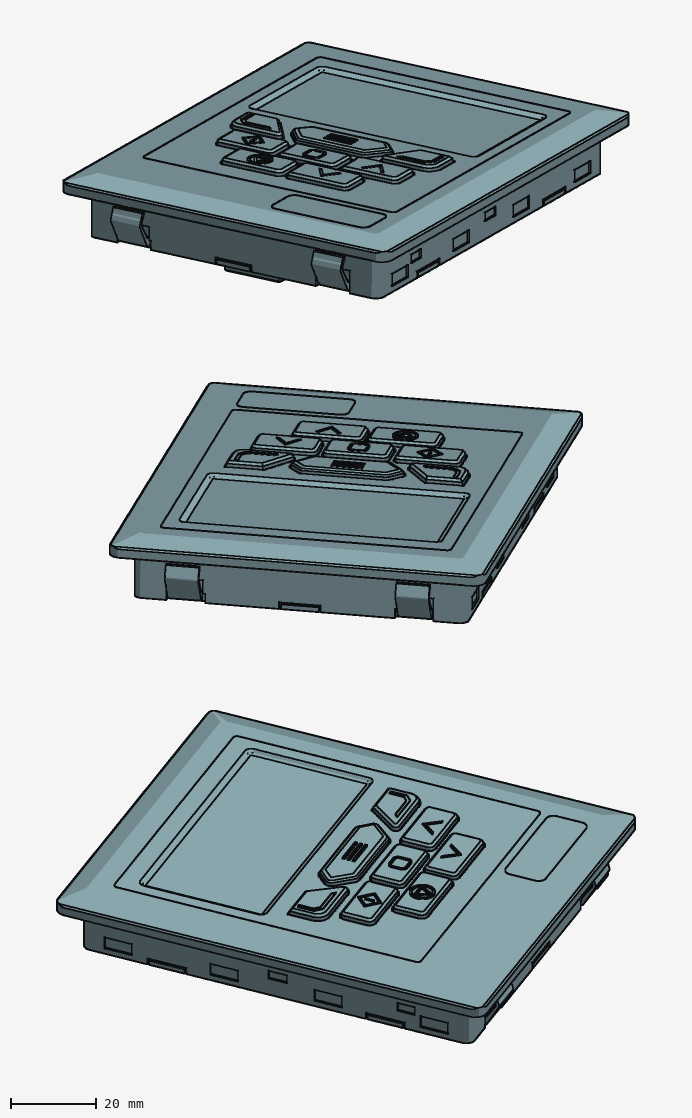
import cadquery as cq
import math

BEZEL_X, BEZEL_Y = 90.0, 110.0
FACE_Z = 4.9
TOTAL_Z = 21.91
BEZEL_RADIUS = 3.0
BEZEL_RIM_SECTIONS = [
    (2.0, 0.0, 2.8),
    (0.0, 0.7, BEZEL_RADIUS),
    (0.0, FACE_Z, BEZEL_RADIUS),
]
BEZEL_COVER_SECTIONS = [
    (0.0, 0.0, 1.1),
    (0.0, 2.85, 1.1),
    (0.45, 3.3, 1.1),
    (5.45, FACE_Z - 0.15, 1.8),
    (6.25, FACE_Z, 1.2),
]

HOUSING_X, HOUSING_Y, HOUSING_DEPTH = 80.0, 100.0, 10.9
HOUSING_RADIUS = 2.2

PLATE_X, PLATE_TOP, PLATE_BOTTOM = 69.6, 44.1, -34.5
PLATE_RADIUS, PLATE_RECESS = 1.0, 0.1
SCREEN_X, SCREEN_TOP, SCREEN_BOTTOM = 63.0, 39.3, 6.7
SCREEN_RADIUS = 1.6
SCREEN_STEP = 0.7
SCREEN_SLOPE_DEPTH, SCREEN_FLOOR_DEPTH = 0.6, 0.9
LABEL_X, LABEL_Y, LABEL_CENTRE = 26.8, 10.3, (21.2, -41.75)
LABEL_RADIUS, LABEL_DEPTH = 1.9, 0.1

KEY_HEIGHT = 1.21
KEY_TOP = FACE_Z + KEY_HEIGHT
KEY_CHAMFER_Z, KEY_CHAMFER_XY = 0.6, 0.6
MENU_EDGE_CHAMFER, MENU_CROWN_HEIGHT, MENU_CROWN_INSET = 0.4, 0.3, 0.9
KEY_GAP, KEY_GAP_DEPTH = 0.4, 0.5
KEY_BASE_Z = FACE_Z - KEY_GAP_DEPTH
KEY_X, KEY_Y, KEY_RADIUS = 16.3, 9.2, 1.7
KEY_PITCH, KEY_ROW_Y = 17.15, -13.7
LOWER_KEY_X, LOWER_KEY_OFFSET, LOWER_ROW_Y = 17.5, 9.0, -23.7
UPPER_ROW_BOTTOM = -7.4
SYMBOL_DEPTH = 0.2

POCKET_DEPTH = 0.5
LATCH_POCKET_Y, LATCH_POCKET_TOP, LATCH_POCKET_BOTTOM = 7.1, -6.3, -9.4
LATCH_POCKET_CENTRES = (-40.5, -13.35, 13.35, 40.5)
VENT_TOP, VENT_BOTTOM = -4.2, -6.4
VENT_SPANS = ((-2.8, 2.0), (-35.5, -31.1))
TAB_WIDTH, TAB_TOP, TAB_SLIT = 10.0, -9.2, 0.5
TAB_SIDE_Y = 28.0

CLIP_OFFSET, CLIP_WIDTH = 27.6, 8.0
CLIP_SLOT_WIDTH, CLIP_SLOT_TOP, CLIP_SLOT_DEPTH = 8.8, -5.2, 1.2
CLIP_ROOT_BOTTOM, CLIP_ROOT_TOP, CLIP_TIP = -10.3, -8.2, -1.2
CLIP_RELIEF_WIDTH, CLIP_RELIEF_TOP = 0.5, -8.6

CONNECTOR_Y = -34.0
FLANGE_SIZE, FLANGE_THICKNESS, FLANGE_RADIUS = 19.8, 1.3, 2.0
PLUG_SIZE, PLUG_CHAMFER = 15.5, 0.4
PLUG_DEPTH = TOTAL_Z - KEY_TOP - HOUSING_DEPTH - FLANGE_THICKNESS


def rounded_block(size_x, size_y, radius, z_bottom, height, centre=(0, 0)):
    """Upright block with rounded vertical edges."""
    base = cq.Workplane("XY", origin=(*centre, z_bottom)).rect(size_x, size_y)
    return base.extrude(height).edges("|Z").fillet(radius)


def rounded_rect_wire(size_x, size_y, radius, z, centre=(0, 0)):
    """Closed rounded rectangle lying at height z, taken from the foot of a block."""
    block_height = 1.0
    block = rounded_block(size_x, size_y, radius, z, block_height, centre)
    return block.faces("<Z").wires().val()


def box_between(x_range, y_range, z_range):
    """Plain box given by its limits on each axis."""
    size = [high - low for low, high in (x_range, y_range, z_range)]
    corner = cq.Vector(x_range[0], y_range[0], z_range[0])
    return cq.Workplane(cq.Solid.makeBox(*size, corner))


def mirrored(body, plane):
    """A body together with its mirror image."""
    return body.union(body.mirror(plane))


def bezel_loft(sections):
    wires = [
        rounded_rect_wire(BEZEL_X - 2 * inset, BEZEL_Y - 2 * inset, radius, z)
        for inset, z, radius in sections
    ]
    return cq.Workplane(cq.Solid.makeLoft(wires, True))


def make_bezel():
    """Sloped cover trimmed by the wider corner rounds of the rim."""
    return bezel_loft(BEZEL_RIM_SECTIONS).intersect(bezel_loft(BEZEL_COVER_SECTIONS))


def make_housing():
    return rounded_block(HOUSING_X, HOUSING_Y, HOUSING_RADIUS, -HOUSING_DEPTH, HOUSING_DEPTH)


def plate_recess():
    centre = (0, (PLATE_TOP + PLATE_BOTTOM) / 2)
    height = PLATE_TOP - PLATE_BOTTOM
    return rounded_block(PLATE_X, height, PLATE_RADIUS, FACE_Z - PLATE_RECESS, PLATE_RECESS, centre)


def screen_recess():
    centre = (0, (SCREEN_TOP + SCREEN_BOTTOM) / 2)
    size_y = SCREEN_TOP - SCREEN_BOTTOM
    rim_z = FACE_Z - PLATE_RECESS
    stages = ((0, 0), (1, SCREEN_SLOPE_DEPTH), (2, SCREEN_FLOOR_DEPTH))
    wires = []
    for step, depth in stages:
        inset = step * SCREEN_STEP
        radius = SCREEN_RADIUS - inset
        wires.append(rounded_rect_wire(SCREEN_X - 2 * inset, size_y - 2 * inset, radius, rim_z - depth, centre))
    return cq.Workplane(cq.Solid.makeLoft(wires, True))


def label_recess():
    return rounded_block(LABEL_X, LABEL_Y, LABEL_RADIUS, FACE_Z - LABEL_DEPTH, LABEL_DEPTH, LABEL_CENTRE)


def polygon_opening(points):
    """Key opening in the plate with sharp corners."""
    return cq.Workplane("XY", origin=(0, 0, KEY_BASE_Z)).polyline(points).close().extrude(KEY_GAP_DEPTH)


def rectangular_opening(centre, width):
    return rounded_block(width, KEY_Y, KEY_RADIUS, KEY_BASE_Z, KEY_GAP_DEPTH, centre)


def soft_key_opening():
    """Left soft key: one slanted side, large round at the outer lower corner."""
    outer_x, top_y = -28.7, 2.2
    shoulder_x, tip_x = -19.3, -12.2
    outer_round, tip_round = 3.2, 1.3
    opening = polygon_opening([
        (outer_x, top_y),
        (shoulder_x, top_y),
        (tip_x, UPPER_ROW_BOTTOM),
        (outer_x, UPPER_ROW_BOTTOM),
    ])
    opening = opening.edges("|Z and <X and <Y").fillet(outer_round)
    return opening.edges("|Z and >X").fillet(tip_round)


def menu_key_opening():
    """Six-sided centre key."""
    top_x, top_y = 10.5, 2.6
    tip_x, tip_y = 14.5, -1.6
    bottom_x = 9.4
    corner_round = 1.8
    opening = polygon_opening([
        (-top_x, top_y),
        (top_x, top_y),
        (tip_x, tip_y),
        (bottom_x, UPPER_ROW_BOTTOM),
        (-bottom_x, UPPER_ROW_BOTTOM),
        (-tip_x, tip_y),
    ])
    return opening.edges("|Z").fillet(corner_round)


def key_blank(opening, top_z):
    """Straight-sided key standing in its opening with the clearance all round."""
    outline = cq.Workplane("XY", origin=(0, 0, KEY_BASE_Z)).add(opening.faces("<Z").wires().vals())
    return outline.toPending().offset2D(-KEY_GAP).extrude(top_z - KEY_BASE_Z)


def standard_key(opening):
    return key_blank(opening, KEY_TOP).faces(">Z").chamfer(KEY_CHAMFER_Z, KEY_CHAMFER_XY)


def menu_key(opening):
    """Key with a chamfered edge and a flatter sloped crown on top."""
    slope = math.degrees(math.atan2(MENU_CROWN_INSET, MENU_CROWN_HEIGHT))
    key = key_blank(opening, KEY_TOP - MENU_CROWN_HEIGHT).faces(">Z").chamfer(MENU_EDGE_CHAMFER)
    return key.faces(">Z").wires().toPending().extrude(MENU_CROWN_HEIGHT, taper=slope)


def standard_openings():
    soft = soft_key_opening()
    openings = [soft, soft.mirror("YZ")]
    openings += [rectangular_opening((column * KEY_PITCH, KEY_ROW_Y), KEY_X) for column in (-1, 0, 1)]
    openings += [rectangular_opening((side * LOWER_KEY_OFFSET, LOWER_ROW_Y), LOWER_KEY_X) for side in (-1, 1)]
    return openings


def add_keys(body):
    menu_opening = menu_key_opening()
    body = body.cut(menu_opening).union(menu_key(menu_opening))
    for opening in standard_openings():
        body = body.cut(opening).union(standard_key(opening))
    return body


def symbol_plane(x=0, y=0):
    return cq.Workplane("XY", origin=(x, y, KEY_TOP - SYMBOL_DEPTH))


def corner_symbol():
    """L-shaped mark on the left soft key."""
    left_x, top_y, bottom_y, end_x = -26.6, 0.5, -5.3, -17.4
    width, bend = 0.84, 1.6
    inner_bend = 1.2
    inner_x, inner_y = left_x + width, bottom_y + width
    return (
        symbol_plane()
        .moveTo(left_x, top_y)
        .lineTo(left_x, bottom_y + bend)
        .lineTo(left_x + bend, bottom_y)
        .lineTo(end_x, bottom_y)
        .lineTo(end_x - width, inner_y)
        .lineTo(inner_x + inner_bend, inner_y)
        .lineTo(inner_x, inner_y + inner_bend)
        .lineTo(inner_x, top_y)
        .close()
        .extrude(SYMBOL_DEPTH)
    )


def menu_symbol():
    """Three stacked bars."""
    bar_x, bar_y, pitch, middle_y = 7.4, 0.6, 1.3, -2.25
    centres = [(0, middle_y + row * pitch) for row in (-1, 0, 1)]
    return symbol_plane().pushPoints(centres).rect(bar_x, bar_y).extrude(SYMBOL_DEPTH)


def start_symbol():
    """Diamond ring around an upright stroke."""
    outer_side, inner_side = 4.3, 3.4
    stroke_x, stroke_y = 0.5, 2.2
    centre = (-KEY_PITCH + 0.1, KEY_ROW_Y)
    ring = symbol_plane().rect(outer_side, outer_side).rect(inner_side, inner_side).extrude(SYMBOL_DEPTH)
    ring = ring.rotate((0, 0, 0), (0, 0, 1), 45)
    stroke = symbol_plane().rect(stroke_x, stroke_y).extrude(SYMBOL_DEPTH)
    return ring.union(stroke).translate((*centre, 0))


def stop_symbol():
    """Rounded square ring."""
    outer, ring_width, radius = 4.7, 0.5, 1.3
    inner = outer - 2 * ring_width
    centre = (0, KEY_ROW_Y - 0.2)
    z_bottom = KEY_TOP - SYMBOL_DEPTH
    ring = rounded_block(outer, outer, radius, z_bottom, SYMBOL_DEPTH, centre)
    return ring.cut(rounded_block(inner, inner, radius - ring_width, z_bottom, SYMBOL_DEPTH, centre))


def chevron_symbol(centre, direction):
    """Arrow head pointing up (direction 1) or down (direction -1)."""
    half_width, half_height, stroke = 3.0, 1.95, 0.7
    points = [
        (-half_width, -half_height),
        (0, half_height),
        (half_width, -half_height),
        (half_width - stroke, -half_height),
        (0, half_height - stroke * half_height / half_width * 2),
        (stroke - half_width, -half_height),
    ]
    flipped = [(x, y * direction) for x, y in points]
    return symbol_plane(*centre).polyline(flipped).close().extrude(SYMBOL_DEPTH)


def reset_symbol():
    """Circular ring enclosing a downward triangular ring."""
    outer_radius, inner_radius = 3.0, 2.45
    triangle_outer, triangle_inner = 2.7, 1.6
    plane = symbol_plane(-LOWER_KEY_OFFSET, LOWER_ROW_Y + 0.1)

    def triangle(reach):
        half_width = reach * math.cos(math.pi / 6)
        shoulder = reach * math.sin(math.pi / 6)
        corners = [(-half_width, shoulder), (half_width, shoulder), (0, -reach)]
        return plane.polyline(corners).close().extrude(SYMBOL_DEPTH)

    ring = plane.circle(outer_radius).circle(inner_radius).extrude(SYMBOL_DEPTH)
    return ring.union(triangle(triangle_outer).cut(triangle(triangle_inner)))


def key_symbols():
    return [
        corner_symbol(),
        corner_symbol().mirror("YZ"),
        menu_symbol(),
        start_symbol(),
        stop_symbol(),
        chevron_symbol((KEY_PITCH, KEY_ROW_Y - 0.1), 1),
        chevron_symbol((LOWER_KEY_OFFSET, LOWER_ROW_Y + 0.1), -1),
        reset_symbol(),
    ]


def side_pockets():
    """Shallow latch and vent pockets in the -X wall, repeated on the +X wall."""
    wall = -HOUSING_X / 2
    x_range = (wall, wall + POCKET_DEPTH)
    pockets = cq.Workplane()
    for y in LATCH_POCKET_CENTRES:
        y_range = (y - LATCH_POCKET_Y / 2, y + LATCH_POCKET_Y / 2)
        pockets = pockets.add(box_between(x_range, y_range, (LATCH_POCKET_BOTTOM, LATCH_POCKET_TOP)))
    for y_range in VENT_SPANS:
        pockets = pockets.add(box_between(x_range, y_range, (VENT_BOTTOM, VENT_TOP)))
    return mirrored(pockets.combine(), "YZ")


def tab_slit():
    """U-shaped slit around a flush snap tab, cut inward along +Y from Y = 0."""
    half = TAB_WIDTH / 2
    inner_half = half - TAB_SLIT
    depth_range = (0, POCKET_DEPTH)
    outline = box_between((-half, half), depth_range, (-HOUSING_DEPTH, TAB_TOP))
    return outline.cut(box_between((-inner_half, inner_half), depth_range, (-HOUSING_DEPTH, TAB_TOP - TAB_SLIT)))


def tab_slits():
    end = tab_slit().translate((0, -HOUSING_Y / 2, 0))
    side = tab_slit().rotate((0, 0, 0), (0, 0, 1), -90)
    side = side.translate((-HOUSING_X / 2, TAB_SIDE_Y, 0))
    sides = mirrored(mirrored(side, "YZ"), "XZ")
    return mirrored(end, "XZ").union(sides)


def clip_slots():
    wall = -HOUSING_Y / 2
    y_range = (wall, wall + CLIP_SLOT_DEPTH)
    half = CLIP_SLOT_WIDTH / 2
    relief_x = CLIP_OFFSET - half - CLIP_RELIEF_WIDTH
    slot = box_between((CLIP_OFFSET - half, CLIP_OFFSET + half), y_range, (-HOUSING_DEPTH, CLIP_SLOT_TOP))
    relief = box_between((relief_x, CLIP_OFFSET), y_range, (-HOUSING_DEPTH, CLIP_RELIEF_TOP))
    return mirrored(mirrored(slot.union(relief), "YZ"), "XZ")


def spring_clips():
    """Bent leaf springs leaning out of their slots and curling back at the top."""
    wall = HOUSING_Y / 2
    root = -CLIP_SLOT_DEPTH
    profile = (
        cq.Workplane("YZ", origin=(CLIP_OFFSET - CLIP_WIDTH / 2, wall, 0))
        .moveTo(root, CLIP_ROOT_BOTTOM)
        .lineTo(0.1, CLIP_ROOT_BOTTOM)
        .lineTo(3.25, -4.65)
        .threePointArc((3.42, -4.2), (3.35, -3.75))
        .lineTo(3.1, -2.95)
        .lineTo(2.85, -2.5)
        .lineTo(2.4, CLIP_TIP)
        .lineTo(1.4, CLIP_TIP)
        .lineTo(1.7, -1.9)
        .lineTo(2.3, -3.1)
        .threePointArc((2.55, -4.0), (2.4, -4.6))
        .lineTo(0, CLIP_ROOT_TOP)
        .lineTo(root, CLIP_ROOT_TOP)
        .close()
    )
    return mirrored(mirrored(profile.extrude(CLIP_WIDTH), "YZ"), "XZ")


def make_connector():
    centre = (0, CONNECTOR_Y)
    flange_z = -HOUSING_DEPTH - FLANGE_THICKNESS
    flange = rounded_block(FLANGE_SIZE, FLANGE_SIZE, FLANGE_RADIUS, flange_z, FLANGE_THICKNESS, centre)
    plug = (
        cq.Workplane("XY", origin=(*centre, flange_z - PLUG_DEPTH))
        .rect(PLUG_SIZE, PLUG_SIZE)
        .extrude(PLUG_DEPTH)
        .edges("|Z or <Z")
        .chamfer(PLUG_CHAMFER)
    )
    return flange.union(plug)


def make_part():
    body = make_bezel().union(make_housing())
    for recess in (plate_recess(), screen_recess(), label_recess()):
        body = body.cut(recess)
    for recess in (side_pockets(), tab_slits(), clip_slots()):
        body = body.cut(recess)
    body = add_keys(body)
    for symbol in key_symbols():
        body = body.cut(symbol)
    return body.union(spring_clips()).union(make_connector())


result = make_part()